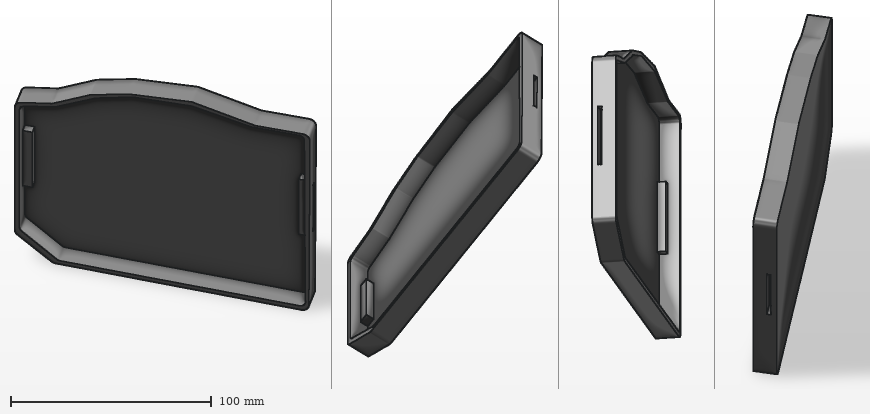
import cadquery as cq

depth = 12.0
floor_thickness = 1.5
outer_radius = 4.0
inner_radius = 3.0

outer_corners = [
    (0, 103.7), (19.4, 107.2), (39.2, 117.5), (58.9, 122.3), (91.4, 124.5),
    (124.2, 116.2), (152.5, 116.2), (151.9, 0), (20.0, 2.3), (0, 17.8),
]
inner_corners = [
    (2.5, 101.6), (21.7, 105.7), (42.1, 115.9), (61, 120.8), (91.4, 121.7),
    (122, 114.8), (149.6, 114.8), (150.1, 2.6), (22.4, 4.5), (2.5, 20.6),
]

block_reach = 7.5
block_rise = 4.4
block_height = 36.3
block_mid_z = 62.4
slot_height = 30.2
slot_width = 2.0
slot_floor_offset = 1.5
slot_end_wall = 1.0
slot_mid_z = 62.2

width = max(x for x, _ in outer_corners)
inside_y = depth - floor_thickness
wall_overlap = 1.5


def rounded_prism(corners, radius, length):
    """Extrude an XZ outline from the open rim toward +Y and round its corners."""
    prism = cq.Workplane("XZ").polyline(corners).close().extrude(-length)
    return prism.edges("|Y").fillet(radius)


def side_box(x_start, x_end, y_start, y_end, mid_z, height):
    """Box spanning the given X and Y ranges, centred on mid_z."""
    size = (x_end - x_start, y_end - y_start, height)
    corner = (x_start, y_start, mid_z - height / 2)
    return cq.Workplane("XY").box(*size, centered=False).translate(corner)


def on_both_sides(left_body):
    """Add the mirror image of a left-hand body at the right-hand wall."""
    right_body = left_body.mirror("YZ", (width / 2, 0, 0))
    return left_body.union(right_body)


tray = rounded_prism(outer_corners, outer_radius, depth)
tray = tray.cut(rounded_prism(inner_corners, inner_radius, inside_y))

block = side_box(wall_overlap, block_reach, inside_y - block_rise, inside_y, block_mid_z, block_height)

slot_back = inside_y - slot_floor_offset
slot_reach = block_reach - slot_end_wall
slot = side_box(0, slot_reach, slot_back - slot_width, slot_back, slot_mid_z, slot_height)

result = tray.union(on_both_sides(block)).cut(on_both_sides(slot))